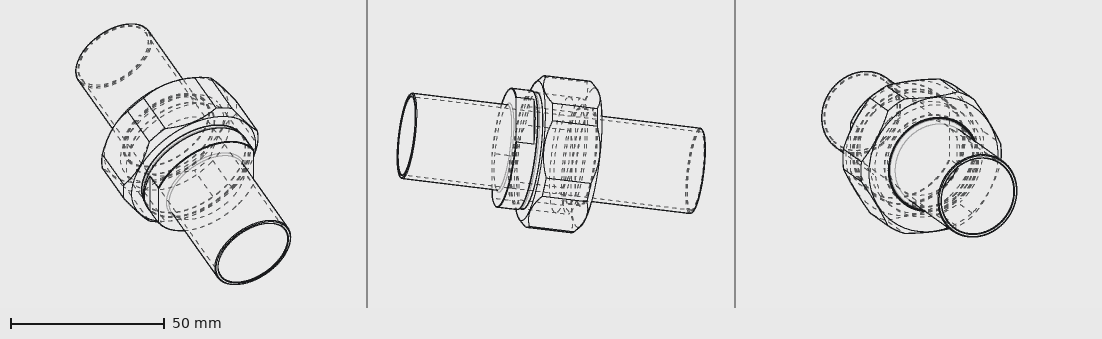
import cadquery as cq
import math


pipe_diameter = 28.0
bore_diameter = 25.6
overall_length = 96.5
pipe_end_chamfer = 0.3
bore_end_chamfer = 0.2

nut_start = 36.5
nut_length = 18.9
nut_across_flats = 46.0
nut_corner_diameter = 49.67
nut_chamfer = 2.0
nut_mouth_diameter = 31.5
nut_mouth_chamfer = 0.25
nut_lip_thickness = 4.0
nut_cavity_diameter = 38.0
hexagon_corner_diameter = nut_across_flats / math.cos(math.pi / 6)
nut_end = nut_start + nut_length

shoulder_diameter = 31.0
tailpiece_fillet = 1.2
shoulder_recess = 0.2
flange_start = nut_start + nut_lip_thickness
flange_thickness = 4.0
joint_face = flange_start + flange_thickness

neck_diameter = 38.4
neck_end = 56.5
collar_diameter = 39.0
neck_taper_end = 57.05
neck_taper_end_diameter = 38.66
collar_chamfer = 0.2
collar_end = 64.0
body_fillet = 0.6
body_across_flats = 35.0
wrench_flat_start = 58.0

pipe_radius = pipe_diameter / 2
bore_radius = bore_diameter / 2


def fillet_middle(center_x, center_r, radius, x_direction):
    """Midpoint of a quarter-round fillet whose arc bulges towards the axis."""
    offset = radius * math.sqrt(0.5)
    return (center_x + x_direction * offset, center_r - offset)


def revolve_about_x(profile):
    return profile.close().revolve(360, (0, 0, 0), (1, 0, 0))


def make_tailpiece():
    shoulder_face = nut_start + shoulder_recess
    fillet_start = shoulder_face - tailpiece_fillet
    fillet_top = pipe_radius + tailpiece_fillet
    profile = (
        cq.Workplane("XY")
        .moveTo(bore_end_chamfer, bore_radius)
        .lineTo(0, bore_radius + bore_end_chamfer)
        .lineTo(0, pipe_radius - pipe_end_chamfer)
        .lineTo(pipe_end_chamfer, pipe_radius)
        .lineTo(fillet_start, pipe_radius)
        .threePointArc(
            fillet_middle(fillet_start, fillet_top, tailpiece_fillet, 1),
            (shoulder_face, fillet_top),
        )
        .lineTo(shoulder_face, shoulder_diameter / 2)
        .lineTo(flange_start, shoulder_diameter / 2)
        .lineTo(flange_start, nut_cavity_diameter / 2)
        .lineTo(joint_face, nut_cavity_diameter / 2)
        .lineTo(joint_face, bore_radius)
    )
    return revolve_about_x(profile)


def make_nut():
    hexagon = (
        cq.Workplane("YZ", origin=(nut_start, 0, 0))
        .polygon(6, hexagon_corner_diameter)
        .extrude(nut_length)
    )
    turned_blank = (
        cq.Workplane("YZ", origin=(nut_start, 0, 0))
        .circle(nut_corner_diameter / 2)
        .extrude(nut_length)
        .edges()
        .chamfer(nut_chamfer)
    )
    mouth = (
        cq.Workplane("YZ", origin=(nut_start, 0, 0))
        .circle(nut_mouth_diameter / 2)
        .extrude(nut_lip_thickness)
    )
    cavity = (
        cq.Workplane("YZ", origin=(flange_start, 0, 0))
        .circle(nut_cavity_diameter / 2)
        .extrude(nut_length - nut_lip_thickness)
    )
    nut = hexagon.intersect(turned_blank).cut(mouth).cut(cavity)
    mouth_edge = cq.selectors.RadiusNthSelector(0)
    return nut.faces("<X").edges(mouth_edge).chamfer(nut_mouth_chamfer)


def make_body():
    collar_radius = collar_diameter / 2
    fillet_end = collar_end + body_fillet
    fillet_top = pipe_radius + body_fillet
    profile = (
        cq.Workplane("XY")
        .moveTo(joint_face, bore_radius)
        .lineTo(joint_face, nut_cavity_diameter / 2)
        .lineTo(nut_end, nut_cavity_diameter / 2)
        .lineTo(nut_end, neck_diameter / 2)
        .lineTo(neck_end, neck_diameter / 2)
        .lineTo(neck_taper_end, neck_taper_end_diameter / 2)
        .lineTo(neck_taper_end, collar_radius - collar_chamfer)
        .lineTo(neck_taper_end + collar_chamfer, collar_radius)
        .lineTo(collar_end - collar_chamfer, collar_radius)
        .lineTo(collar_end, collar_radius - collar_chamfer)
        .lineTo(collar_end, fillet_top)
        .threePointArc(
            fillet_middle(fillet_end, fillet_top, body_fillet, -1),
            (fillet_end, pipe_radius),
        )
        .lineTo(overall_length - pipe_end_chamfer, pipe_radius)
        .lineTo(overall_length, pipe_radius - pipe_end_chamfer)
        .lineTo(overall_length, bore_radius + bore_end_chamfer)
        .lineTo(overall_length - bore_end_chamfer, bore_radius)
    )
    body = revolve_about_x(profile)
    return body.cut(wrench_flat_cutters())


def wrench_flat_cutters():
    """Blocks that leave two parallel flats on the -Y and +Y sides of the collar."""
    length = collar_end - wrench_flat_start
    center_x = (wrench_flat_start + collar_end) / 2
    cutters = cq.Workplane("XY")
    for side in (-1, 1):
        center_y = side * (body_across_flats + collar_diameter) / 2
        cutters = cutters.add(
            cq.Workplane("XY", origin=(center_x, center_y, 0))
            .box(length, collar_diameter, collar_diameter)
        )
    return cutters.combine()


tailpiece = make_tailpiece()
nut = make_nut()
body = make_body()

result = cq.Compound.makeCompound([tailpiece.val(), nut.val(), body.val()])